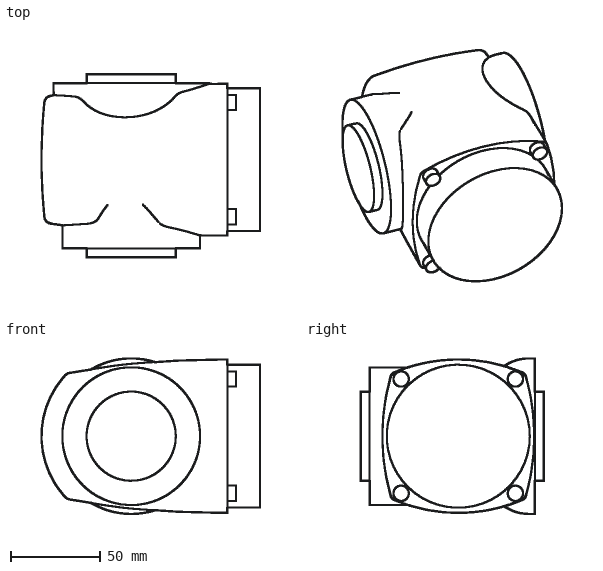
import cadquery as cq
import math


overall_length = 122.5

motor_radius = 40.0
motor_end_x = 72.1
flange_start_x = 46.6
flange_end_x = 53.8

nose_radius = overall_length - motor_end_x
nose_crown = 2.0
nose_half_width = 35.5
barrel_half_width = 1.5 * nose_half_width
loft_end_x = -53.9
loft_section_count = 5
housing_fillet = 4.4
flat_edge_tolerance = 0.1
flange_mid_y, flange_mid_z = 42.5, 43.0
flange_corner_y, flange_corner_z = 37.5, 35.0
tail_mid_y, tail_mid_z = 34.5, 31.6
tail_corner_y, tail_corner_z = 33.2, 30.5

hub_radius = 38.6
hub_face_y = -49.6
cup_radius = 43.6
cup_face_y = 42.9
cup_rim_width = 3.4
cup_arc_radius = 24.0
disc_radius = 25.0
disc_height = 5.0

screw_radius = 4.3
screw_height = 4.8
screw_offset = 32.0


def housing_section(x):
    """Closed wire of four shallow arcs; its sizes shrink with the square of the flange distance."""
    shrink = ((flange_start_x - x) / (flange_start_x - loft_end_x)) ** 2

    def blend(at_flange, at_tail):
        return at_flange + (at_tail - at_flange) * shrink

    mid_y = blend(flange_mid_y, tail_mid_y)
    mid_z = blend(flange_mid_z, tail_mid_z)
    corner_y = blend(flange_corner_y, tail_corner_y)
    corner_z = blend(flange_corner_z, tail_corner_z)
    outline = (
        cq.Workplane("YZ", origin=(x, 0, 0))
        .moveTo(corner_y, -corner_z)
        .threePointArc((mid_y, 0), (corner_y, corner_z))
        .threePointArc((0, mid_z), (-corner_y, corner_z))
        .threePointArc((-mid_y, 0), (-corner_y, -corner_z))
        .threePointArc((0, -mid_z), (corner_y, -corner_z))
        .close()
    )
    return outline.val()


def cylinder_along_y(radius, start_y, end_y):
    return cq.Workplane("XZ", origin=(0, start_y, 0)).circle(radius).extrude(start_y - end_y)


def make_nose_envelope():
    """Barrel about the hub axis that rounds off the nose, joined to a block reaching past the flange."""
    crown_arc_radius = (nose_half_width**2 + nose_crown**2) / (2 * nose_crown)
    end_crown = crown_arc_radius - math.sqrt(crown_arc_radius**2 - barrel_half_width**2)
    end_radius = nose_radius - end_crown
    barrel = (
        cq.Workplane("XY")
        .moveTo(0, -barrel_half_width)
        .lineTo(-end_radius, -barrel_half_width)
        .threePointArc((-nose_radius, 0), (-end_radius, barrel_half_width))
        .lineTo(0, barrel_half_width)
        .close()
        .revolve(360, (0, 0, 0), (0, 1, 0))
    )
    block_width = 2 * barrel_half_width
    block = cq.Workplane("XY").box(flange_end_x, block_width, block_width, centered=(False, True, True))
    return barrel.union(block)


def make_housing():
    """Lofted body with a rounded nose and a straight flange, its long and nose edges filleted."""
    step = (loft_end_x - flange_start_x) / (loft_section_count - 1)
    sections = [housing_section(flange_start_x + i * step) for i in range(loft_section_count)]
    body = cq.Workplane(cq.Solid.makeLoft(sections)).intersect(make_nose_envelope())
    flange_vector = cq.Vector(flange_end_x - flange_start_x, 0, 0)
    flange = cq.Workplane(cq.Solid.extrudeLinear(sections[0], [], flange_vector))
    housing = body.union(flange)
    rounded = housing.edges().filter(lambda edge: edge.BoundingBox().xlen > flat_edge_tolerance)
    return rounded.fillet(housing_fillet)


def make_front_hub():
    hub = cylinder_along_y(hub_radius, hub_face_y, 0)
    return hub.union(cylinder_along_y(disc_radius, hub_face_y - disc_height, 0))


def make_rear_cup():
    """Flat disc whose rim rolls inward along an arc towards the housing."""
    rim_y = cup_face_y - cup_rim_width
    cup = (
        cq.Workplane("XY")
        .moveTo(0, cup_face_y)
        .lineTo(cup_radius, cup_face_y)
        .lineTo(cup_radius, rim_y)
        .radiusArc((cup_radius - cup_arc_radius, rim_y - cup_arc_radius), cup_arc_radius)
        .lineTo(0, rim_y - cup_arc_radius)
        .close()
        .revolve(360, (0, 0, 0), (0, 1, 0))
    )
    return cup.union(cylinder_along_y(disc_radius, 0, cup_face_y + disc_height))


def make_motor_end():
    return cq.Workplane("YZ").circle(motor_radius).extrude(motor_end_x)


def make_screw_heads():
    return (
        cq.Workplane("YZ", origin=(flange_start_x, 0, 0))
        .rect(2 * screw_offset, 2 * screw_offset, forConstruction=True)
        .vertices()
        .circle(screw_radius)
        .extrude(flange_end_x + screw_height - flange_start_x)
    )


result = (
    make_housing()
    .union(make_front_hub())
    .union(make_rear_cup())
    .union(make_motor_end())
    .union(make_screw_heads())
)